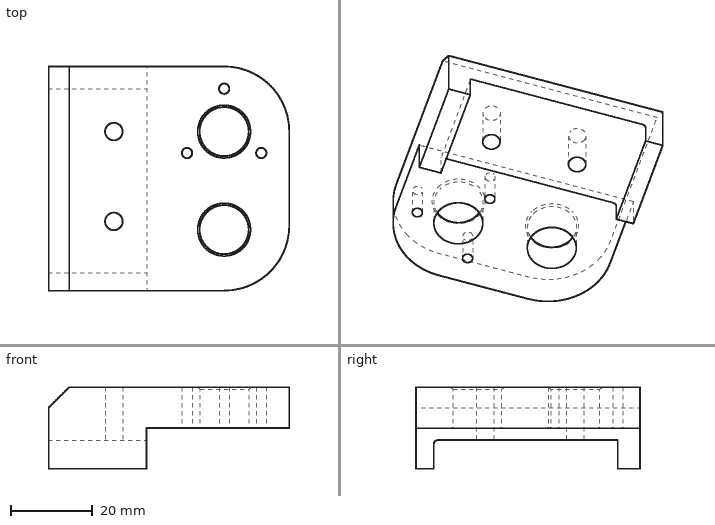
import cadquery as cq
import math

length = 59.0
width = 55.0
height = 20.0
plate_thickness = height / 2
block_length = 24.0
edge_chamfer = 5.0
corner_radius = 16.0

channel_width = 45.0
channel_depth = 7.0
wide_leg = 5.55
channel_corner_radius = 1.0

bore_diameter = 12.0
bore_chamfer = 0.5
bore_spacing = 24.0
bore_x = length - corner_radius
bore_y = width - corner_radius

screw_diameter = 2.5
screw_count = 3
screw_circle_radius = 10.5
first_screw_angle = 90

mount_diameter = 4.25
mount_spacing = 22.0
mount_to_bore = 27.0
mount_x = bore_x - mount_to_bore


def make_body():
    """Stepped side profile with a beveled top edge and rounded +X corners."""
    body = (
        cq.Workplane("XZ")
        .moveTo(0, 0)
        .lineTo(block_length, 0)
        .lineTo(block_length, height - plate_thickness)
        .lineTo(length, height - plate_thickness)
        .lineTo(length, height)
        .lineTo(edge_chamfer, height)
        .lineTo(0, height - edge_chamfer)
        .close()
        .extrude(-width)
    )
    return body.faces(">X").edges("|Z").fillet(corner_radius)


def make_channel():
    """Channel volume, off-center, with its upper -Y corner slightly rounded."""
    channel = cq.Workplane("XY").box(block_length, channel_width, channel_depth, centered=False)
    channel = channel.edges("|X and >Z and <Y").fillet(channel_corner_radius)
    return channel.translate((0, width - wide_leg - channel_width, 0))


def drill(body, points, diameter):
    """Cut vertical through holes at points given in the XY plane."""
    cutters = cq.Workplane("XY").pushPoints(points).circle(diameter / 2).extrude(height)
    return body.cut(cutters)


def drill_bore(body, x, y):
    """Cut a through bore with a chamfered top rim."""
    body = drill(body, [(x, y)], bore_diameter)
    rim = (
        cq.Workplane("XY", origin=(x, y, height))
        .circle(bore_diameter / 2 + bore_chamfer)
        .extrude(-bore_chamfer, taper=45)
    )
    return body.cut(rim)


result = make_body().cut(make_channel())

for y in (bore_y, bore_y - bore_spacing):
    result = drill_bore(result, bore_x, y)

screw_points = []
for index in range(screw_count):
    angle = math.radians(first_screw_angle + index * 360 / screw_count)
    x = bore_x + screw_circle_radius * math.cos(angle)
    y = bore_y + screw_circle_radius * math.sin(angle)
    screw_points.append((x, y))
result = drill(result, screw_points, screw_diameter)

mount_points = [(mount_x, bore_y), (mount_x, bore_y - mount_spacing)]
result = drill(result, mount_points, mount_diameter)